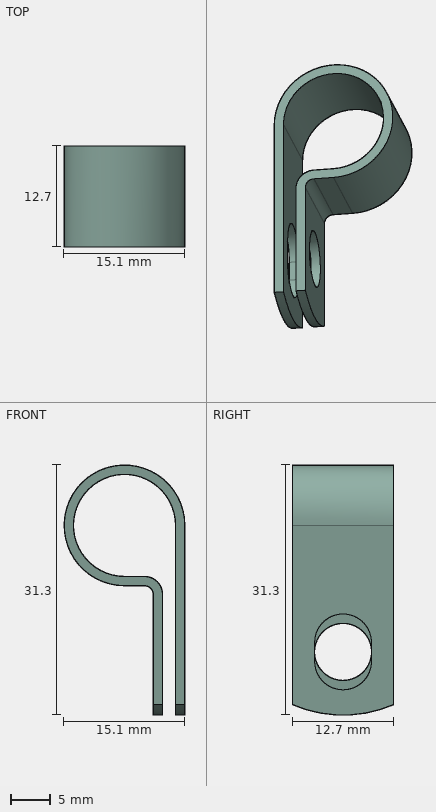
import cadquery as cq

height = 31.32
loop_diameter = 15.13
strap_width = 12.7
thickness = 1.2

leg_gap = 1.6
bend_inner_radius = 1.1
hole_diameter = 7.1
hole_height = 7.92
slot_travel = 2.38
end_arc_rise = 1.3

outer_radius = loop_diameter / 2
inner_radius = outer_radius - thickness
loop_height = height - outer_radius
bend_outer_radius = bend_inner_radius + thickness
short_leg_right = inner_radius - leg_gap
short_leg_left = short_leg_right - thickness
bend_x = short_leg_right - bend_outer_radius
bend_height = loop_height - inner_radius - bend_outer_radius


def strap():
    """Bent strip: long straight leg, three-quarter loop, bend and short leg."""
    profile = (
        cq.Workplane("XZ")
        .moveTo(outer_radius, 0)
        .lineTo(outer_radius, loop_height)
        .threePointArc((0, height), (-outer_radius, loop_height))
        .radiusArc((0, loop_height - outer_radius), -outer_radius)
        .lineTo(bend_x, loop_height - outer_radius)
        .radiusArc((short_leg_left, bend_height), bend_inner_radius)
        .lineTo(short_leg_left, 0)
        .lineTo(short_leg_right, 0)
        .lineTo(short_leg_right, bend_height)
        .radiusArc((bend_x, loop_height - inner_radius), -bend_outer_radius)
        .lineTo(0, loop_height - inner_radius)
        .radiusArc((-inner_radius, loop_height), inner_radius)
        .threePointArc((0, loop_height + inner_radius), (inner_radius, loop_height))
        .lineTo(inner_radius, 0)
        .close()
    )
    return profile.extrude(strap_width / 2, both=True)


def side_envelope():
    """Side outline of the strap with arched leg tips, spanning the full X size."""
    half_width = strap_width / 2
    return (
        cq.Workplane("YZ")
        .moveTo(-half_width, height)
        .lineTo(-half_width, end_arc_rise)
        .threePointArc((0, 0), (half_width, end_arc_rise))
        .lineTo(half_width, height)
        .close()
        .extrude(outer_radius, both=True)
    )


def bolt_hole():
    """Cylinder along X that pierces the short leg."""
    return (
        cq.Workplane("YZ", origin=(short_leg_left, 0, hole_height))
        .circle(hole_diameter / 2)
        .extrude(thickness)
    )


def bolt_slot():
    """Vertical slot through the long leg, as wide as the hole and centred on it."""
    return (
        cq.Workplane("YZ", origin=(inner_radius, 0, hole_height))
        .slot2D(hole_diameter + slot_travel, hole_diameter, 90)
        .extrude(thickness)
    )


result = strap().intersect(side_envelope()).cut(bolt_hole()).cut(bolt_slot())